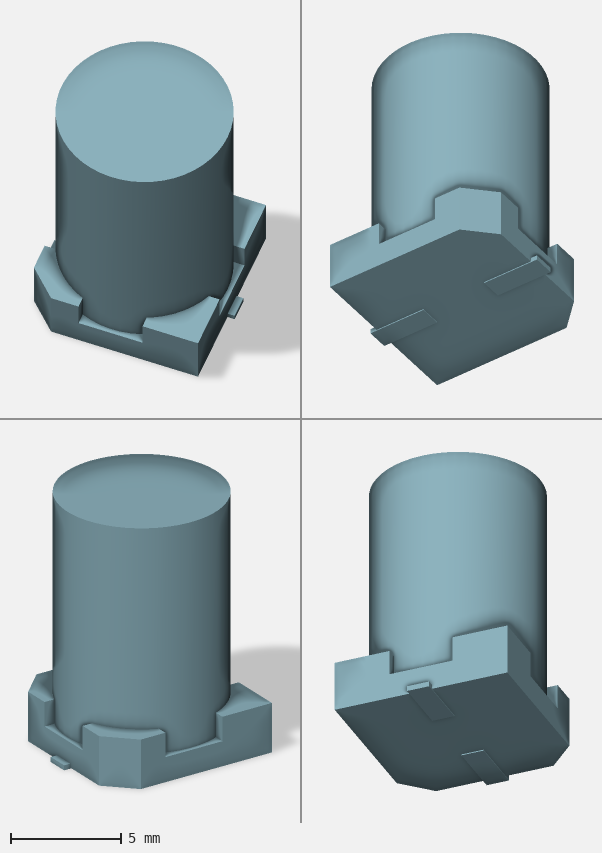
import cadquery as cq

overall_length = 9.19
overall_height = 12.55

base_width = 8.51
base_height = 2.47
corner_chamfer = 1.36
standoff = 0.05

notch_width = 3.11
seat_height = 1.25

can_diameter = 8.08

lead_width = 1.09
lead_thickness = 0.25
lead_inner_gap = 3.36

base_top_z = standoff + base_height
seat_z = standoff + seat_height
can_height = overall_height - seat_z
lead_length = (overall_length - lead_inner_gap) / 2
lead_center_x = (overall_length + lead_inner_gap) / 4


def make_can():
    """Plain cylinder standing on the seat of the base."""
    return cq.Workplane("XY").workplane(offset=seat_z).circle(can_diameter / 2).extrude(can_height)


def make_lead(side):
    """Flat strip on the +X (side = 1) or -X (side = -1) half of the part."""
    return (
        cq.Workplane("XY")
        .center(side * lead_center_x, 0)
        .rect(lead_length, lead_width)
        .extrude(lead_thickness)
    )


def make_base(can, leads):
    """Chamfered block with a round seat for the can, side notches and lead grooves."""
    base = (
        cq.Workplane("XY")
        .workplane(offset=standoff)
        .rect(base_width, base_width)
        .extrude(base_height)
        .edges("|Z and <X")
        .chamfer(corner_chamfer)
    )
    notch_depth = base_top_z - seat_z
    notch_plane = cq.Workplane("XY").workplane(offset=seat_z)
    base = base.cut(notch_plane.rect(notch_width, base_width).extrude(notch_depth))
    base = base.cut(notch_plane.rect(base_width, notch_width).extrude(notch_depth))
    base = base.cut(can)
    for lead in leads:
        base = base.cut(lead)
    return base


can = make_can()
leads = [make_lead(side) for side in (-1, 1)]
base = make_base(can, leads)

result = cq.Compound.makeCompound([base.val(), can.val(), *[lead.val() for lead in leads]])